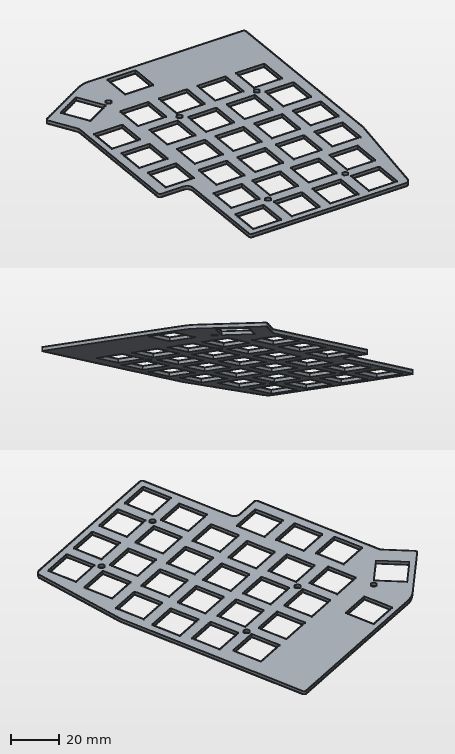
import cadquery as cq
import math

PLATE_WIDTH = 139.0
PLATE_HEIGHT = 107.8
PLATE_THICKNESS = 1.7

SLOPE_START_X = 91.8
SLOPE_END_Y = 100.7
RIGHT_EDGE_BOTTOM_Y = 22.1
NOTCH_X = 91.8
THUMB_EDGE_Y = 7.4
TIP_X = 16.3
TILT_ANGLE = 30.0

CORNER_RADIUS = 1.0
TIP_RADIUS = 1.0
SLOPE_CORNER_RADIUS = 2.5
NOTCH_RADIUS = 2.8
TILT_BEND_RADIUS = 12.5
THUMB_BEND_RADIUS = 2.8

KEY_SIZE = 13.9
COLUMN_SPAN = 95.0
FIRST_COLUMN_X = 34.0
COLUMN_BOTTOM_Y = [36.3, 38.7, 40.0, 38.7, 34.0, 32.5]
ROW_COUNT = 4
KEY_PITCH = COLUMN_SPAN / (len(COLUMN_BOTTOM_Y) - 1)
THUMB_KEY_Y = [17.4, 18.8, 19.7]
SIDE_KEY_CENTER = (9.7, 45.3)
TILTED_KEY_CENTER = (17.2, 17.4)

HOLE_DIAMETER = 2.6
LEFT_HOLE_X = 43.7
RIGHT_HOLE_X = 119.2
LEFT_HOLE_Y = 48.0
RIGHT_HOLE_Y = 43.5
HOLE_ROW_STEP = 2 * KEY_PITCH
CORNER_HOLE_CENTER = (18.1, 29.3)


def make_plate():
    """Flat plate with each outline corner rounded by its own radius."""
    tilt = math.radians(TILT_ANGLE)
    tip_y = TIP_RADIUS * (1 - math.sin(tilt) - math.cos(tilt))
    corners = [
        (0, PLATE_HEIGHT, CORNER_RADIUS),
        (SLOPE_START_X, PLATE_HEIGHT, None),
        (PLATE_WIDTH, SLOPE_END_Y, SLOPE_CORNER_RADIUS),
        (PLATE_WIDTH, RIGHT_EDGE_BOTTOM_Y, CORNER_RADIUS),
        (NOTCH_X, RIGHT_EDGE_BOTTOM_Y, NOTCH_RADIUS),
        (NOTCH_X, THUMB_EDGE_Y, CORNER_RADIUS),
        (TIP_X + (THUMB_EDGE_Y - tip_y) / math.tan(tilt), THUMB_EDGE_Y, THUMB_BEND_RADIUS),
        (TIP_X, tip_y, TIP_RADIUS),
        (0, tip_y + TIP_X / math.tan(tilt), TILT_BEND_RADIUS),
    ]
    outline = [(x, y) for x, y, _ in corners]
    plate = cq.Workplane("XY").polyline(outline).close().extrude(PLATE_THICKNESS)
    for x, y, radius in corners:
        if radius:
            corner_edge = cq.selectors.NearestToPointSelector((x, y, PLATE_THICKNESS / 2))
            plate = plate.edges("|Z").edges(corner_edge).fillet(radius)
    return plate


def straight_key_centers():
    """Centres of all key openings that are square to the plate."""
    centers = [SIDE_KEY_CENTER]
    for column, bottom_y in enumerate(COLUMN_BOTTOM_Y):
        x = FIRST_COLUMN_X + column * KEY_PITCH
        centers += [(x, bottom_y + row * KEY_PITCH) for row in range(ROW_COUNT)]
    for index, y in enumerate(THUMB_KEY_Y):
        centers.append((FIRST_COLUMN_X + (index + 0.5) * KEY_PITCH, y))
    return centers


def hole_centers():
    """Two holes on each side of the key field and one near the tilted key."""
    centers = [CORNER_HOLE_CENTER]
    for x, y in [(LEFT_HOLE_X, LEFT_HOLE_Y), (RIGHT_HOLE_X, RIGHT_HOLE_Y)]:
        centers += [(x, y), (x, y + HOLE_ROW_STEP)]
    return centers


base = cq.Workplane("XY")
straight_keys = base.pushPoints(straight_key_centers()).rect(KEY_SIZE, KEY_SIZE).extrude(PLATE_THICKNESS)
tilted_key = (
    base.center(*TILTED_KEY_CENTER)
    .transformed(rotate=(0, 0, TILT_ANGLE))
    .rect(KEY_SIZE, KEY_SIZE)
    .extrude(PLATE_THICKNESS)
)
holes = base.pushPoints(hole_centers()).circle(HOLE_DIAMETER / 2).extrude(PLATE_THICKNESS)

result = make_plate().cut(straight_keys).cut(tilted_key).cut(holes)